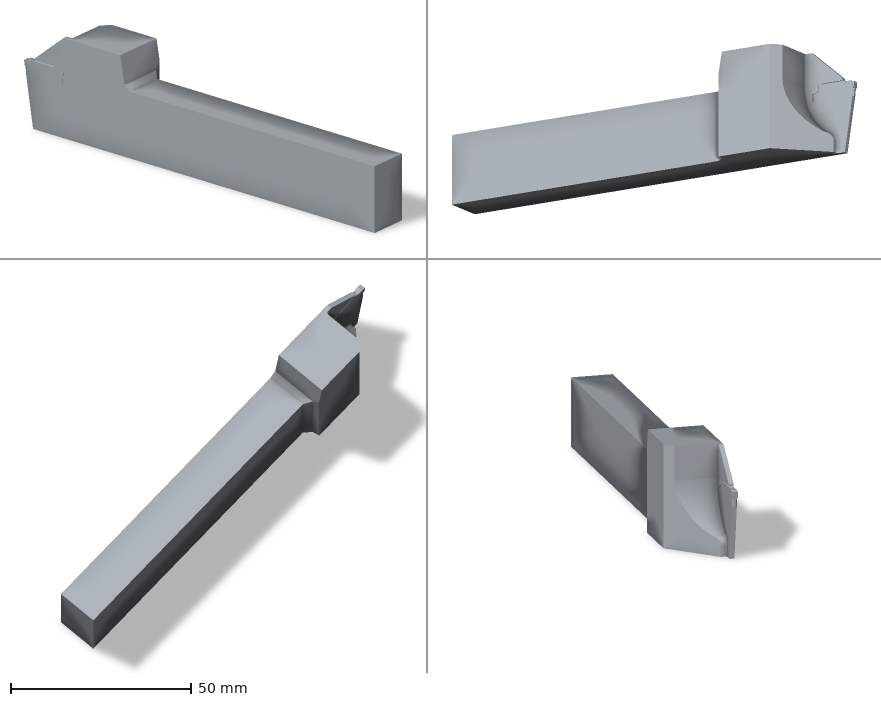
import cadquery as cq
import math

total_length = 125.0
shank_width = 12.0
shank_height = 20.0
head_width = 16.0
head_height = 30.0

blade_thickness = 1.4
front_clearance = math.radians(9)
front_bottom_x = 3.1
nose_x = 3.85
nose_z = 21.4
head_top_start_x = 14.0

step_clearance = math.radians(10)
step_foot_x = 35.7
step_top_rise = 1.5
step_side_rise = 1.9
step_end_x = 37.7

relief_wall_x = 16.0
relief_radius = 18.0
relief_ledge_x = 7.65
relief_ledge_z = 5.75
relief_foot_x = 5.7
relief_foot_z = 3.1
relief_foot_radius = 2.4
relief_root_radius = 0.75
selection_margin = 0.1
relief_corner_y = 13.5

insert_length = 14.0
insert_bottom_z = 15.8
end_clearance = math.radians(5)
tip_z = 20.0
tip_land = 0.9
head_top_z = 20.35
pad_top_z = 20.75
pad_start_x = 3.2
pad_ramp = 0.4
bevel_depth = 0.3
end_bevel_length = 0.35
pad_bevel_height = pad_top_z - head_top_z

cutting_head_length = 2.4
cutting_head_corner_z = 19.2
cutting_head_bottom_z = 18.2
cutting_head_radius = 2.2
cutting_head_overhang = 0.12


def mirrored_outline(left_points):
    """Close a left half, given bottom to top, with its mirror about mid-length."""
    right_points = [(insert_length - x, z) for x, z in reversed(left_points)]
    return left_points + right_points


def plate(points, start_y, end_y):
    """Extrude an XZ outline from start_y to end_y."""
    outline = cq.Workplane("XZ", origin=(0, start_y, 0)).polyline(points).close()
    return outline.extrude(start_y - end_y)


def insert_end_x(z):
    """X of the sloping front end face of the insert at height z."""
    return (tip_z - z) * math.tan(end_clearance)


insert_outline = mirrored_outline([
    (insert_end_x(insert_bottom_z), insert_bottom_z),
    (0, tip_z),
    (tip_land, tip_z),
    (tip_land + pad_ramp / 2, head_top_z),
    (pad_start_x, head_top_z),
    (pad_start_x + pad_ramp, pad_top_z),
])


def make_side_profile():
    """Holder seen from its flat side, before the insert seat is cut."""
    front_top_x = front_bottom_x - nose_z * math.tan(front_clearance)
    step_foot_z = shank_height + step_top_rise
    step_top_x = step_foot_x - (head_height - step_foot_z) * math.tan(step_clearance)
    points = [
        (front_bottom_x, 0),
        (total_length, 0),
        (total_length, shank_height),
        (step_end_x, shank_height),
        (step_foot_x, step_foot_z),
        (step_top_x, head_height),
        (head_top_start_x, head_height),
        (nose_x, nose_z),
        (front_top_x, nose_z),
    ]
    return plate(points, 0, head_width)


def make_plan_profile():
    """Holder seen from above: 45 degree front face and the step to the shank."""
    step_foot_y = shank_width + step_side_rise
    step_top_x = step_foot_x - (head_width - step_foot_y) * math.tan(step_clearance)
    head_corner_x = relief_wall_x + head_width - relief_corner_y
    front_start_x = head_corner_x - head_width
    points = [
        (front_start_x, 0),
        (total_length, 0),
        (total_length, shank_width),
        (step_end_x, shank_width),
        (step_foot_x, step_foot_y),
        (step_top_x, head_width),
        (head_corner_x, head_width),
    ]
    return cq.Workplane("XY").polyline(points).close().extrude(head_height)


def make_relief_body():
    """Material left behind the blade: a wall, a concave arc and a rounded foot."""
    return (
        cq.Workplane("XZ", origin=(0, blade_thickness, 0))
        .moveTo(total_length, 0)
        .lineTo(total_length, head_height)
        .lineTo(relief_wall_x, head_height)
        .lineTo(relief_wall_x, shank_height)
        .radiusArc((relief_ledge_x, relief_ledge_z), relief_radius)
        .radiusArc((relief_foot_x, relief_foot_z), -relief_foot_radius)
        .lineTo(relief_foot_x, 0)
        .close()
        .extrude(blade_thickness - head_width)
    )


def make_holder():
    """Shank, head and blade in one piece, with the insert seat cut through the blade."""
    side = make_side_profile()
    blade = side.intersect(cq.Workplane("XY").box(
        total_length, blade_thickness, head_height, centered=False))
    rear = make_relief_body().intersect(make_plan_profile()).intersect(side)
    holder = blade.union(rear).clean()
    root_zone = cq.selectors.BoxSelector(
        (relief_foot_x - selection_margin, blade_thickness - selection_margin, -selection_margin),
        (
            relief_wall_x + selection_margin,
            blade_thickness + selection_margin,
            head_height + selection_margin,
        ),
        boundingbox=True,
    )
    holder = holder.edges(root_zone).edges("not |X").fillet(relief_root_radius)
    seat = plate(insert_outline, 0, blade_thickness)
    return holder.cut(seat).cut(make_tip_clearance())


def make_tip_clearance():
    """Open space above the seat and ahead of the nose."""
    front_x = -insert_length
    points = [
        (front_x, insert_bottom_z),
        (nose_x, insert_bottom_z),
        (nose_x, nose_z),
        (front_x, nose_z),
    ]
    return plate(points, 0, blade_thickness)


def make_cutting_head():
    """Front cutting head: wider than the body, with a rounded lower corner."""
    bottom_x = insert_end_x(cutting_head_bottom_z)
    return (
        cq.Workplane("XZ", origin=(0, -cutting_head_overhang, 0))
        .moveTo(bottom_x, cutting_head_bottom_z)
        .lineTo(0, tip_z)
        .lineTo(tip_land, tip_z)
        .lineTo(tip_land + pad_ramp / 2, head_top_z)
        .lineTo(cutting_head_length, head_top_z)
        .lineTo(cutting_head_length, cutting_head_corner_z)
        .radiusArc((bottom_x, cutting_head_bottom_z), cutting_head_radius)
        .close()
        .extrude(-(blade_thickness + 2 * cutting_head_overhang))
    )


def both_ends(front_shape):
    """A shape at the front end and its mirror image at the rear end."""
    return front_shape, front_shape.mirror("YZ", (insert_length / 2, 0, 0))


def make_end_bevel(side_y, bevel_y):
    """Wedge cut from one side of the front end face, below the cutting head."""
    start_x = insert_end_x(insert_bottom_z)
    wedge = [(0, side_y), (start_x + end_bevel_length, side_y), (start_x, bevel_y), (0, bevel_y)]
    bevel = cq.Workplane("XY", origin=(0, 0, insert_bottom_z)).polyline(wedge).close()
    return bevel.extrude(cutting_head_bottom_z - insert_bottom_z)


def make_pad_bevel(side_y, bevel_y):
    """Wedge cut along one side of the raised pad."""
    wedge = [(side_y, pad_top_z - pad_bevel_height), (side_y, pad_top_z), (bevel_y, pad_top_z)]
    bevel = cq.Workplane("YZ", origin=(pad_start_x, 0, 0)).polyline(wedge).close()
    return bevel.extrude(insert_length - 2 * pad_start_x)


def make_insert():
    """Double-ended insert, symmetrical about its mid-length."""
    body = plate(insert_outline, 0, blade_thickness)
    for side_y, bevel_y in ((0, bevel_depth), (blade_thickness, blade_thickness - bevel_depth)):
        body = body.cut(make_pad_bevel(side_y, bevel_y))
        for end_bevel in both_ends(make_end_bevel(side_y, bevel_y)):
            body = body.cut(end_bevel)
    for head in both_ends(make_cutting_head()):
        body = body.union(head)
    return body


holder = make_holder()
insert = make_insert()

result = cq.Compound.makeCompound([holder.val(), insert.val()])